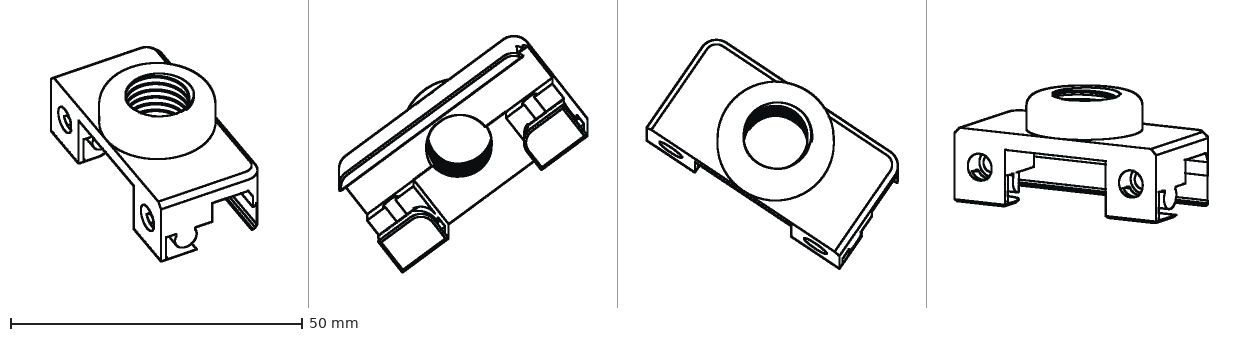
import cadquery as cq

length = 40.0
depth = 20.0
body_height = 13.0
corner_radius = 3.0
top_chamfer = 1.0
foot_chamfer = 0.4
half_length = length / 2
front = -depth / 2
back = depth / 2

wall = 1.0
lip_thickness = 0.4
lip_corner = 0.4
back_lip_end = 8.0
front_lip_end = -3.05
ledge_height = 5.35
back_ledge = 8.0
slope_bottom = 7.7
slope_top_y = 7.0
channel_ceiling = 9.5

bead_radius = 2.1
bead_y = -5.15
bead_z = 3.9
neck_width = 3.6
neck_fillet = 0.25

window_width = 20.0
window_top = 10.0
leg_corner_radius = 3.0

screw_spacing = 30.0
screw_z = 6.5
screw_diameter = 3.1
counterbore_diameter = 4.7
counterbore_depth = 4.0

boss_diameter = 20.0
boss_height = 6.0
boss_fillet = 2.0
total_height = body_height + boss_height
bore_diameter = 11.0
thread_pitch = 1.5
thread_depth = 0.8
thread_width = 1.15
thread_turns = 8
thread_exit_angle = 72.0
thread_overlap = 0.1


def make_block():
    block = cq.Workplane("XY").box(length, depth, body_height, centered=(True, True, False))
    block = block.edges("|Z and >Y").fillet(corner_radius)
    block = block.faces(">Z").edges("not <Y").chamfer(top_chamfer)
    return block.faces("<Z").edges().chamfer(foot_chamfer)


def make_channel():
    back_wall = back - wall
    front_wall = front + wall
    lip_corner_top = lip_thickness + lip_corner
    outline = [
        (back_lip_end, 0),
        (back_lip_end, lip_thickness),
        (back_wall - lip_corner, lip_thickness),
        (back_wall, lip_corner_top),
        (back_wall, ledge_height),
        (back_ledge, ledge_height),
        (back_ledge, slope_bottom),
        (slope_top_y, channel_ceiling),
        (0, channel_ceiling),
        (0, ledge_height),
        (front_wall, ledge_height),
        (front_wall, lip_corner_top),
        (front_wall + lip_corner, lip_thickness),
        (front_lip_end, lip_thickness),
        (front_lip_end - foot_chamfer, 0),
    ]
    return cq.Workplane("YZ").polyline(outline).close().extrude(half_length, both=True)


def make_bead():
    """Round bead with a short neck that flares into the ledge above it."""
    half_neck = neck_width / 2
    flare_bottom = ledge_height - neck_fillet
    half_flare = half_neck + neck_fillet
    neck = (
        cq.Workplane("YZ")
        .moveTo(bead_y - half_neck, bead_z)
        .lineTo(bead_y - half_neck, flare_bottom)
        .radiusArc((bead_y - half_flare, ledge_height), -neck_fillet)
        .lineTo(bead_y + half_flare, ledge_height)
        .radiusArc((bead_y + half_neck, flare_bottom), -neck_fillet)
        .lineTo(bead_y + half_neck, bead_z)
        .close()
        .extrude(half_length, both=True)
    )
    bead = cq.Workplane("YZ").center(bead_y, bead_z).circle(bead_radius)
    return bead.extrude(half_length, both=True).union(neck)


def make_window():
    """Opening from the front face to mid-depth, flared at the feet."""
    half_width = window_width / 2
    half_flare = half_width + foot_chamfer
    outline = [
        (-half_flare, 0),
        (-half_width, foot_chamfer),
        (-half_width, window_top),
        (half_width, window_top),
        (half_width, foot_chamfer),
        (half_flare, 0),
    ]
    return cq.Workplane("XZ").polyline(outline).close().extrude(-front)


def make_leg_corner_cutter(side):
    """Waste outside the rounded inner back corner of a leg, below the ledge."""
    centre_x = window_width / 2 + leg_corner_radius
    centre_y = front_lip_end - leg_corner_radius
    quadrant = (
        cq.Workplane("XY")
        .moveTo(centre_x, centre_y)
        .rect(-leg_corner_radius, leg_corner_radius, centered=False)
        .extrude(ledge_height)
    )
    rounding = cq.Workplane("XY").center(centre_x, centre_y).circle(leg_corner_radius).extrude(ledge_height)
    rounding = rounding.faces("<Z").edges().chamfer(foot_chamfer)
    cutter = quadrant.cut(rounding)
    return cutter if side > 0 else cutter.mirror("YZ")


def make_screw_holes():
    half_spacing = screw_spacing / 2
    centres = [(-half_spacing, screw_z), (half_spacing, screw_z)]
    front_plane = cq.Workplane("XZ", origin=(0, front, 0)).pushPoints(centres)
    holes = front_plane.circle(screw_diameter / 2).extrude(front)
    counterbores = front_plane.circle(counterbore_diameter / 2).extrude(-counterbore_depth)
    return holes.union(counterbores)


def make_boss():
    """Boss that starts low enough to fill the chamfer it overhangs at the back."""
    base = cq.Workplane("XY").workplane(offset=body_height - top_chamfer)
    boss = base.circle(boss_diameter / 2).extrude(boss_height + top_chamfer)
    return boss.faces(">Z").edges().fillet(boss_fillet)


def make_thread_groove():
    """V-shaped right-handed groove passing out through the boss top."""
    bore_radius = bore_diameter / 2
    turns_below_top = thread_turns - 1
    start_z = total_height - turns_below_top * thread_pitch
    inner_radius = bore_radius - thread_overlap
    half_mouth = thread_width / 2 * (thread_depth + thread_overlap) / thread_depth
    helix = cq.Wire.makeHelix(thread_pitch, thread_turns * thread_pitch, bore_radius)
    groove = (
        cq.Workplane("XZ")
        .moveTo(inner_radius, -half_mouth)
        .lineTo(bore_radius + thread_depth, 0)
        .lineTo(inner_radius, half_mouth)
        .close()
        .sweep(cq.Workplane(obj=helix), isFrenet=True)
    )
    return groove.rotate((0, 0, 0), (0, 0, 1), thread_exit_angle).translate((0, 0, start_z))


bore = cq.Workplane("XY").circle(bore_diameter / 2).extrude(total_height)

result = make_block().cut(make_channel()).union(make_bead())
result = result.cut(make_window()).cut(make_screw_holes())
for side in (-1, 1):
    result = result.cut(make_leg_corner_cutter(side))
result = result.union(make_boss()).cut(bore).cut(make_thread_groove())